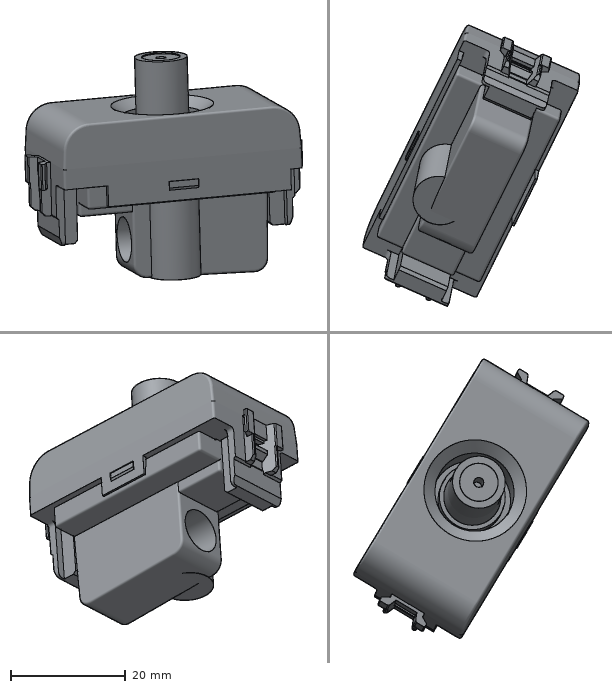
import cadquery as cq

TILT_ANGLE = -5

COORDINATE_TOLERANCE = 0.005

COVER_HALF_WIDTH = 11.0
COVER_TOP_HALF_WIDTH = 10.7
COVER_HALF_LENGTH = 22.0
SKIRT_HEIGHT = 3.55
SKIRT_MIDDLE = SKIRT_HEIGHT / 2
SHOULDER_HEIGHT = 6.45
SHOULDER_RADIUS = 4.82
SHOULDER_HALF_LENGTH = 21.8
COVER_HEIGHT = SHOULDER_HEIGHT + SHOULDER_RADIUS
COVER_EDGE_FILLET = 0.45

WELL_TOP_RADIUS = 9.0
WELL_RADIUS = 6.95
WELL_CONE_DEPTH = 1.7
WELL_FLOOR = 1.3
FLANGE_RADIUS = 5.8
FLANGE_TOP = 4.5
CONNECTOR_RADIUS = 4.65
CONNECTOR_ROOT_RADIUS = 5.0
CONNECTOR_ROOT_TOP = 9.55
CONNECTOR_TOP = 19.9
FACE_RECESS_RADIUS = 3.4
FACE_RECESS_DEPTH = 0.2
PIN_HOLE_RADIUS = 0.85
PIN_HOLE_DEPTH = 4.82

BASE_HALF_WIDTH = 9.95
BASE_HALF_LENGTH = 17.35
BASE_GAP = 0.2
BASE_BOTTOM = -4.15
BASE_FILLET = 0.45
BASE_MIDDLE = (BASE_BOTTOM - BASE_GAP) / 2
NECK_HALF_WIDTH = 5.55
STEP_HALF_WIDTH = 5.0
STEP_BOTTOM = -6.35

HOUSING_HALF_WIDTH = 5.2
HOUSING_OFFSET = 0.1
HOUSING_NEAR_END = -7.65
HOUSING_FAR_END = 17.35
HOUSING_FAR_END_TAPER = 0.4
HOUSING_NEAR_BOTTOM = -18.2
HOUSING_FAR_BOTTOM = -19.1
HOUSING_CORNER_RADIUS = 2.4
HOUSING_EDGE_FILLET = 0.45
CABLE_HOLE_RADIUS = 4.0
CABLE_HOLE_HEIGHT = -12.15
CABLE_HOLE_DEPTH = 9.65

TUBE_RADIUS = 4.65
TUBE_OFFSET = 4.35
TUBE_BOTTOM = -18.4

LATCH_BOTTOM = -3.7
LATCH_THICKNESS = 1.0
LEFT_LATCH_TIP_THICKNESS = 0.4
LEFT_LATCH_HALF_LENGTH = 4.95
RIGHT_LATCH_TIP_THICKNESS = 0.75
RIGHT_LATCH_NEAR_END = -14
RIGHT_LATCH_FAR_END = 19.8
BUMP_HALF_LENGTH = 2.7
BUMP_TOP = -0.2
BUMP_EDGE = -1.35
BUMP_BOTTOM = -1.8
BUMP_HEIGHT = 0.2

LEG_HALF_WIDTH = 6.05
LEG_BOTTOM = -11.1
LEG_INNER_FACE = 20.5
LEG_LOWER_FACE = 21.55
LEG_TIP_FACE = 21.0
LEG_STEP_TOP = -5.9
LEG_STEP_BOTTOM = -6.25
LEG_CHAMFER_TOP = -9.5
LEG_CORNER_FILLET = 0.85
LEG_ROOT_FILLET = 0.7
RIB_HALF_WIDTH = 4.6
RIB_INNER_FACE = 17.75
RIB_CHAMFER = 0.6

PRONG_TIP = 24.12
PRONG_LIP = 23.45
PRONG_WAIST = 22.7
PRONG_OUTER = 4.65
PRONG_STEM_OUTER = 3.35
PRONG_INNER_TIP = 2.75
PRONG_INNER_ROOT = 2.1
PRONG_HEAD_BOTTOM = -1.05
PRONG_BOTTOM = -6.0
PRONG_STEM_TIP = 24.0
PRONG_END_CHAMFER = 0.85
PRONG_EDGE_CHAMFER = 0.2

PAD_FACE = 22.6
PAD_BOTTOM = 0.5
WINDOW_FLOOR = 21.05
CATCH_FACE = 22.5
CATCH_TOP = -1.65
CATCH_EDGE = -2.4
CATCH_BOTTOM = -3.65
POCKET_FLOOR = 21.4
POCKET_BOTTOM = -5.55


def box(x_range, y_range, z_range):
    """Block filling the given X, Y and Z ranges."""
    size = [high - low for low, high in (x_range, y_range, z_range)]
    corner = [low for low, high in (x_range, y_range, z_range)]
    return cq.Workplane("XY").box(*size, centered=False).translate(tuple(corner))


def disc(radius, bottom, top):
    """Upright cylinder on the connector axis."""
    return cq.Workplane("XY").workplane(offset=bottom).circle(radius).extrude(top - bottom)


def cone(bottom_radius, top_radius, bottom, top):
    """Upright truncated cone on the connector axis."""
    profile = [(0, bottom), (bottom_radius, bottom), (top_radius, top), (0, top)]
    return cq.Workplane("XZ").polyline(profile).close().revolve(360, (0, 0, 0), (0, 1, 0))


def prism_along_x(points, half_width):
    """Closed (Y, Z) outline extruded evenly to both sides of X = 0."""
    return cq.Workplane("YZ").polyline(points).close().extrude(half_width, both=True)


def make_cover():
    arc_offset = SHOULDER_RADIUS * 0.5 ** 0.5
    arc_center_y = SHOULDER_HALF_LENGTH - SHOULDER_RADIUS
    arc_mid = (arc_center_y + arc_offset, SHOULDER_HEIGHT + arc_offset)
    arch = (
        cq.Workplane("YZ")
        .moveTo(-COVER_HALF_LENGTH, SKIRT_HEIGHT)
        .lineTo(COVER_HALF_LENGTH, SKIRT_HEIGHT)
        .lineTo(SHOULDER_HALF_LENGTH, SHOULDER_HEIGHT)
        .threePointArc(arc_mid, (arc_center_y, COVER_HEIGHT))
        .lineTo(-arc_center_y, COVER_HEIGHT)
        .threePointArc((-arc_mid[0], arc_mid[1]), (-SHOULDER_HALF_LENGTH, SHOULDER_HEIGHT))
        .close()
        .extrude(COVER_HALF_WIDTH, both=True)
    )
    width_outline = [
        (-COVER_HALF_WIDTH, SKIRT_HEIGHT),
        (COVER_HALF_WIDTH, SKIRT_HEIGHT),
        (COVER_TOP_HALF_WIDTH, COVER_HEIGHT),
        (-COVER_TOP_HALF_WIDTH, COVER_HEIGHT),
    ]
    drafted = cq.Workplane("XZ").polyline(width_outline).close().extrude(COVER_HALF_LENGTH, both=True)
    arch = arch.intersect(drafted)
    arch = arch.edges("not (|X or <Z)").fillet(COVER_EDGE_FILLET)
    skirt = box(
        (-COVER_HALF_WIDTH, COVER_HALF_WIDTH),
        (-COVER_HALF_LENGTH, COVER_HALF_LENGTH),
        (0, SKIRT_HEIGHT),
    )
    cover = arch.union(skirt.edges("|Z").fillet(COVER_EDGE_FILLET))
    cone_bottom = COVER_HEIGHT - WELL_CONE_DEPTH
    cover = cover.cut(disc(WELL_RADIUS, WELL_FLOOR, COVER_HEIGHT))
    return cover.cut(cone(WELL_RADIUS, WELL_TOP_RADIUS, cone_bottom, COVER_HEIGHT))


def make_connector():
    flange = disc(FLANGE_RADIUS, WELL_FLOOR, FLANGE_TOP)
    root = cone(CONNECTOR_ROOT_RADIUS, CONNECTOR_RADIUS, FLANGE_TOP, CONNECTOR_ROOT_TOP)
    barrel = disc(CONNECTOR_RADIUS, CONNECTOR_ROOT_TOP, CONNECTOR_TOP)
    recess_floor = CONNECTOR_TOP - FACE_RECESS_DEPTH
    connector = flange.union(root).union(barrel)
    connector = connector.cut(disc(FACE_RECESS_RADIUS, recess_floor, CONNECTOR_TOP))
    return connector.cut(disc(PIN_HOLE_RADIUS, recess_floor - PIN_HOLE_DEPTH, recess_floor))


def make_base():
    length = (-BASE_HALF_LENGTH, BASE_HALF_LENGTH)
    block = box((-BASE_HALF_WIDTH, BASE_HALF_WIDTH), length, (BASE_BOTTOM, -BASE_GAP))
    block = block.edges("|Z or <Z").fillet(BASE_FILLET)
    neck = box((-NECK_HALF_WIDTH, NECK_HALF_WIDTH), length, (-BASE_GAP * 2, WELL_FLOOR / 2))
    step = box(
        (-STEP_HALF_WIDTH, STEP_HALF_WIDTH),
        (-BASE_HALF_LENGTH, HOUSING_NEAR_END + HOUSING_CORNER_RADIUS),
        (STEP_BOTTOM, BASE_BOTTOM + BASE_FILLET),
    )
    step = step.edges("<Z or (|Z and <Y)").fillet(BASE_FILLET)
    return block.union(neck).union(step)


def make_housing():
    """Housing, and the cutter for the cable hole in its -Y end."""
    outline = [
        (HOUSING_NEAR_END, BASE_MIDDLE),
        (HOUSING_FAR_END, BASE_MIDDLE),
        (HOUSING_FAR_END - HOUSING_FAR_END_TAPER, HOUSING_FAR_BOTTOM),
        (HOUSING_NEAR_END, HOUSING_NEAR_BOTTOM),
    ]
    housing = prism_along_x(outline, HOUSING_HALF_WIDTH).translate((HOUSING_OFFSET, 0, 0))
    housing = housing.edges("|X and (not >Z)").fillet(HOUSING_CORNER_RADIUS)
    housing = housing.faces("<X or >X").edges("not >Z").fillet(HOUSING_EDGE_FILLET)
    cable_hole = (
        cq.Workplane("XZ", origin=(0, HOUSING_NEAR_END, CABLE_HOLE_HEIGHT))
        .circle(CABLE_HOLE_RADIUS)
        .extrude(-CABLE_HOLE_DEPTH)
    )
    return housing, cable_hole


def make_tube():
    return disc(TUBE_RADIUS, TUBE_BOTTOM, BASE_MIDDLE).translate((TUBE_OFFSET, 0, 0))


def make_latch(side, near_end, far_end, tip_thickness):
    """Latch wall under one long side of the cover; side is -1 for -X and 1 for +X."""
    wall_outline = [
        (COVER_HALF_WIDTH - LATCH_THICKNESS, SKIRT_MIDDLE),
        (COVER_HALF_WIDTH, SKIRT_MIDDLE),
        (COVER_HALF_WIDTH, LATCH_BOTTOM),
        (COVER_HALF_WIDTH - tip_thickness, LATCH_BOTTOM),
    ]
    bump_outline = [
        (COVER_HALF_WIDTH, BUMP_TOP),
        (COVER_HALF_WIDTH + BUMP_HEIGHT, BUMP_TOP),
        (COVER_HALF_WIDTH + BUMP_HEIGHT, BUMP_EDGE),
        (COVER_HALF_WIDTH, BUMP_BOTTOM),
    ]

    def prism(outline, start, end):
        points = [(side * x, z) for x, z in outline]
        return cq.Workplane("XZ", origin=(0, start, 0)).polyline(points).close().extrude(start - end)

    return prism(wall_outline, near_end, far_end).union(
        prism(bump_outline, -BUMP_HALF_LENGTH, BUMP_HALF_LENGTH)
    )


def prong_inner_x(y):
    """Distance of the slanted inner prong face from the YZ plane at a given Y."""
    slope = (PRONG_INNER_TIP - PRONG_INNER_ROOT) / (PRONG_TIP - PAD_FACE)
    return PRONG_INNER_ROOT + slope * (y - PAD_FACE)


def recess_between_prongs(floor, bottom, top):
    """Cutter whose flared sides carry on the inner faces of the prongs."""
    outline = [
        (-prong_inner_x(floor), floor),
        (prong_inner_x(floor), floor),
        (PRONG_INNER_TIP, PRONG_TIP),
        (-PRONG_INNER_TIP, PRONG_TIP),
    ]
    return cq.Workplane("XY", origin=(0, 0, bottom)).polyline(outline).close().extrude(top - bottom)


def make_prong(side):
    """Outward hook of the +Y clip; side is -1 for -X and 1 for +X."""
    head_outline = [
        (prong_inner_x(LEG_INNER_FACE), LEG_INNER_FACE),
        (PRONG_STEM_OUTER, LEG_INNER_FACE),
        (PRONG_STEM_OUTER, PRONG_WAIST),
        (PRONG_OUTER, PRONG_LIP),
        (PRONG_OUTER, PRONG_TIP),
        (PRONG_INNER_TIP, PRONG_TIP),
    ]
    stem_outline = [
        (prong_inner_x(LEG_INNER_FACE), LEG_INNER_FACE),
        (PRONG_STEM_OUTER, LEG_INNER_FACE),
        (PRONG_STEM_OUTER, PRONG_STEM_TIP),
        (prong_inner_x(PRONG_STEM_TIP), PRONG_STEM_TIP),
    ]

    def column(outline, bottom, top):
        points = [(side * x, y) for x, y in outline]
        return cq.Workplane("XY", origin=(0, 0, bottom)).polyline(points).close().extrude(top - bottom)

    head = column(head_outline, PRONG_HEAD_BOTTOM, SKIRT_HEIGHT)
    head = head.faces(">Y").edges("|Z").chamfer(PRONG_EDGE_CHAMFER)
    stem = column(stem_outline, PRONG_BOTTOM, SKIRT_HEIGHT)
    stem = stem.faces(">Y").edges("|Z").chamfer(PRONG_EDGE_CHAMFER)
    stem = stem.faces(">Y").edges("<Z").chamfer(PRONG_END_CHAMFER)
    return head.union(stem)


def make_clip():
    """Leg, rib, prongs and catch at the +Y end."""
    leg_outline = [
        (LEG_INNER_FACE, SKIRT_HEIGHT),
        (COVER_HALF_LENGTH, SKIRT_HEIGHT),
        (COVER_HALF_LENGTH, LEG_STEP_TOP),
        (LEG_LOWER_FACE, LEG_STEP_BOTTOM),
        (LEG_LOWER_FACE, LEG_CHAMFER_TOP),
        (LEG_TIP_FACE, LEG_BOTTOM),
        (LEG_INNER_FACE, LEG_BOTTOM),
    ]
    clip = prism_along_x(leg_outline, LEG_HALF_WIDTH)
    clip = clip.faces("<Z").edges("<X or >X").fillet(LEG_CORNER_FILLET)
    rib_outline = [
        (RIB_INNER_FACE, SKIRT_MIDDLE),
        (LEG_INNER_FACE, SKIRT_MIDDLE),
        (LEG_INNER_FACE, LEG_BOTTOM),
        (RIB_INNER_FACE + RIB_CHAMFER, LEG_BOTTOM),
        (RIB_INNER_FACE, LEG_BOTTOM + RIB_CHAMFER),
    ]
    clip = clip.union(prism_along_x(rib_outline, RIB_HALF_WIDTH))
    clip = clip.cut(recess_between_prongs(WINDOW_FLOOR, CATCH_BOTTOM, 0))
    clip = clip.cut(recess_between_prongs(POCKET_FLOOR, POCKET_BOTTOM, CATCH_BOTTOM))
    clip = clip.cut(recess_between_prongs(LEG_LOWER_FACE, LEG_STEP_BOTTOM, PAD_BOTTOM))
    pad_half_width = (PRONG_INNER_ROOT + PRONG_STEM_OUTER) / 2
    pad_width = (-pad_half_width, pad_half_width)
    clip = clip.union(box(pad_width, (LEG_INNER_FACE, PAD_FACE), (PAD_BOTTOM, SKIRT_HEIGHT)))
    catch_outline = [
        (LEG_INNER_FACE, CATCH_TOP),
        (CATCH_FACE, CATCH_TOP),
        (CATCH_FACE, CATCH_EDGE),
        (LEG_LOWER_FACE, CATCH_BOTTOM),
        (LEG_INNER_FACE, CATCH_BOTTOM),
    ]
    clip = clip.union(prism_along_x(catch_outline, PRONG_INNER_ROOT))
    for side in (-1, 1):
        clip = clip.union(make_prong(side))
    return clip


def is_leg_root(edge):
    """True for the inside corners where the sides of a leg meet the rim underside."""
    center = edge.Center()
    at_rim = abs(center.z) < COORDINATE_TOLERANCE
    at_leg_side = abs(abs(center.x) - LEG_HALF_WIDTH) < COORDINATE_TOLERANCE
    return at_rim and at_leg_side


def make_clipped_cover():
    """Cover with the same clip at both ends and rounded corners where the legs start."""
    clip = make_clip()
    cover = make_cover().union(clip).union(clip.mirror("XZ"))
    return cover.edges("|Y").filter(is_leg_root).fillet(LEG_ROOT_FILLET)


housing, cable_hole = make_housing()
left_latch = make_latch(-1, -LEFT_LATCH_HALF_LENGTH, LEFT_LATCH_HALF_LENGTH, LEFT_LATCH_TIP_THICKNESS)
right_latch = make_latch(1, RIGHT_LATCH_NEAR_END, RIGHT_LATCH_FAR_END, RIGHT_LATCH_TIP_THICKNESS)

body = make_clipped_cover().union(make_base()).union(make_connector())
body = body.union(housing).union(make_tube()).cut(cable_hole)
body = body.union(left_latch).union(right_latch)

result = body.rotate((0, 0, 0), (0, 1, 0), TILT_ANGLE)